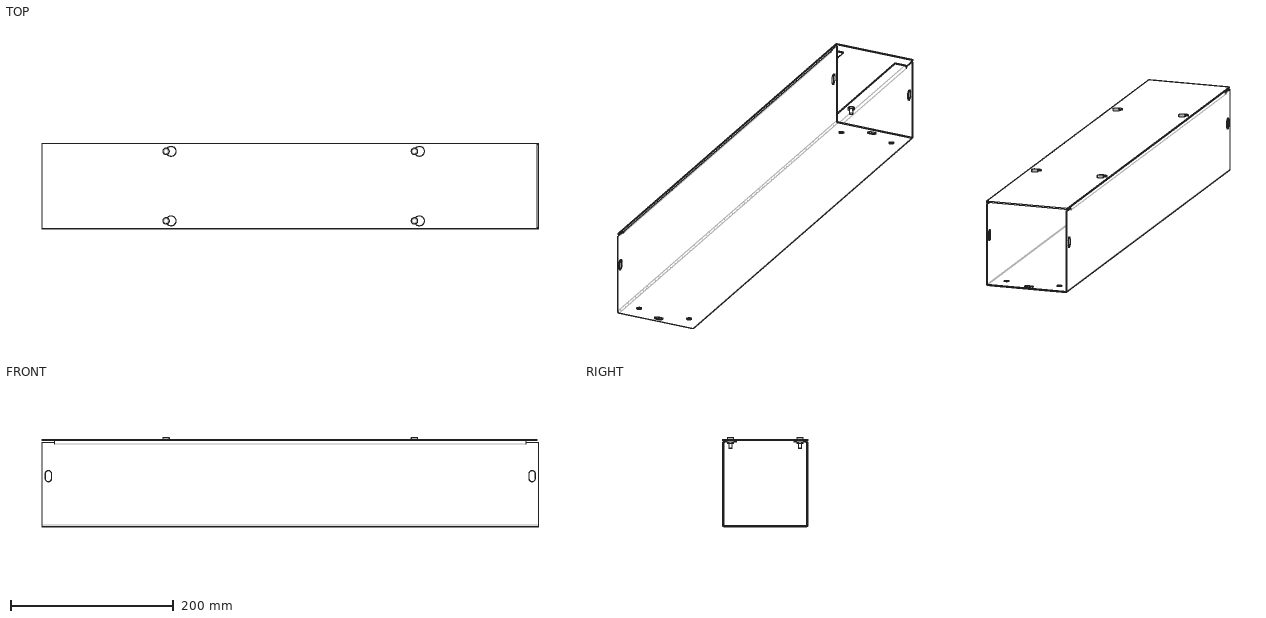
import cadquery as cq

LENGTH = 609.5
WIDTH = 105.0
HEIGHT = 110.0
SHEET = 1.5

HEAD_HEIGHT = 2.5
HEAD_DIA = 8.0
HEAD_FILLET = 1.0
SHANK_DIA = 4.1
SHANK_END_Z = 96.5
SCREW_SPACING_X = 305.0
SCREW_Y = 42.5

COVER_LENGTH = 608.0
COVER_TOP = HEIGHT - HEAD_HEIGHT
COVER_BOTTOM = COVER_TOP - SHEET
COVER_CENTER_X = (COVER_LENGTH - LENGTH) / 2
KEYHOLE_DIA = 12.0
KEYHOLE_NECK = 4.6
KEYHOLE_OFFSET = 6.0

BEND_RADIUS = 4.0
BASE_BEND_RADIUS = 2.15
FLANGE_WIDTH = 17.0
FLANGE_SETBACK = 15.0
FLANGE_LENGTH = LENGTH - 2 * FLANGE_SETBACK
WALL_END_TOP = 103.5
COLLAR_DIA = 8.0
COLLAR_HEIGHT = 2.0

SIDE_SLOT_WIDTH = 7.5
SIDE_SLOT_LENGTH = 13.5
SLOT_INSET = 8.0
SIDE_SLOT_Z = 62.0
BASE_SLOT_LENGTH = 11.0
BASE_SLOT_WIDTH = 6.0
BASE_HOLE_DIA = 6.0
BASE_HOLE_INSET = 23.0
BASE_HOLE_Y = 34.0

SCREW_XS = [side * SCREW_SPACING_X / 2 for side in (-1, 1)]
SCREW_POINTS = [(x, y) for x in SCREW_XS for y in (-SCREW_Y, SCREW_Y)]


def plate(length, width, bottom, top, center_x=0, center_y=0):
    """Rectangular block between two heights."""
    return (
        cq.Workplane("XY", origin=(center_x, center_y, bottom))
        .rect(length, width)
        .extrude(top - bottom)
    )


def rod(points, diameter, bottom, top):
    """Upright cylinders at the given points."""
    return (
        cq.Workplane("XY", origin=(0, 0, bottom))
        .pushPoints(points)
        .circle(diameter / 2)
        .extrude(top - bottom)
    )


def channel_block(length, width, bottom, top, base_radius):
    """Solid bar with rounded lower edges."""
    bar = plate(length, width, bottom, top)
    return bar.edges("|X and <Z").fillet(base_radius)


def make_flanged_channel():
    """C-shaped middle length of the trough, with two bent inward flanges."""
    inner_width = WIDTH - 2 * SHEET
    outer = channel_block(FLANGE_LENGTH, WIDTH, 0, COVER_BOTTOM, BASE_BEND_RADIUS)
    inner_top = COVER_BOTTOM - SHEET
    inner = channel_block(FLANGE_LENGTH, inner_width, SHEET, inner_top, BASE_BEND_RADIUS - SHEET)
    outer = outer.edges("|X and >Z").fillet(BEND_RADIUS)
    inner = inner.edges("|X and >Z").fillet(BEND_RADIUS - SHEET)
    mouth = plate(FLANGE_LENGTH, WIDTH - 2 * FLANGE_WIDTH, HEIGHT / 2, HEIGHT)
    return outer.cut(inner).cut(mouth)


def make_end_channels():
    """U-shaped trough ends beyond the flanges, with straight walls stopping below the cover."""
    outer = channel_block(LENGTH, WIDTH, 0, WALL_END_TOP, BASE_BEND_RADIUS)
    inner = channel_block(LENGTH, WIDTH - 2 * SHEET, SHEET, HEIGHT, BASE_BEND_RADIUS - SHEET)
    middle = plate(FLANGE_LENGTH, WIDTH, 0, HEIGHT)
    return outer.cut(inner).cut(middle)


def make_mounting_openings():
    """Slots in the walls and base, plus round holes in the base, near both ends."""
    slot_x = LENGTH / 2 - SLOT_INSET
    hole_x = LENGTH / 2 - BASE_HOLE_INSET
    side_slots = (
        cq.Workplane("XZ", origin=(0, 0, SIDE_SLOT_Z))
        .pushPoints([(-slot_x, 0), (slot_x, 0)])
        .slot2D(SIDE_SLOT_LENGTH, SIDE_SLOT_WIDTH, 90)
        .extrude(WIDTH, both=True)
    )
    base_slots = (
        cq.Workplane("XY")
        .pushPoints([(-slot_x, 0), (slot_x, 0)])
        .slot2D(BASE_SLOT_LENGTH, BASE_SLOT_WIDTH, 90)
        .extrude(SHEET)
    )
    hole_points = [(x, y) for x in (-hole_x, hole_x) for y in (-BASE_HOLE_Y, BASE_HOLE_Y)]
    return side_slots.union(base_slots).union(rod(hole_points, BASE_HOLE_DIA, 0, SHEET))


def make_trough():
    """Complete trough with openings and a screw collar under each flange hole."""
    collar_bottom = COVER_BOTTOM - SHEET - COLLAR_HEIGHT
    collars = rod(SCREW_POINTS, COLLAR_DIA, collar_bottom, COVER_BOTTOM)
    screw_holes = rod(SCREW_POINTS, SHANK_DIA, collar_bottom, COVER_BOTTOM)
    return (
        make_flanged_channel()
        .union(make_end_channels())
        .cut(make_mounting_openings())
        .union(collars)
        .cut(screw_holes)
    )


def make_cover():
    """Flat lid with a keyhole at each screw."""
    cover = plate(COVER_LENGTH, WIDTH, COVER_BOTTOM, COVER_TOP, COVER_CENTER_X)
    large_ends = [(x + KEYHOLE_OFFSET, y) for x, y in SCREW_POINTS]
    cover = cover.cut(rod(large_ends, KEYHOLE_DIA, COVER_BOTTOM, COVER_TOP))
    cover = cover.cut(rod(SCREW_POINTS, KEYHOLE_NECK, COVER_BOTTOM, COVER_TOP))
    for x, y in SCREW_POINTS:
        neck_x = x + KEYHOLE_OFFSET / 2
        cover = cover.cut(plate(KEYHOLE_OFFSET, KEYHOLE_NECK, COVER_BOTTOM, COVER_TOP, neck_x, y))
    return cover


def make_screw(x, y):
    """Round-headed screw with its head resting on the cover."""
    head = rod([(x, y)], HEAD_DIA, COVER_TOP, HEIGHT).faces(">Z").edges().fillet(HEAD_FILLET)
    shank = rod([(x, y)], SHANK_DIA, SHANK_END_Z, COVER_TOP)
    return head.union(shank)


trough = make_trough()
cover = make_cover()
screws = [make_screw(x, y) for x, y in SCREW_POINTS]

result = cq.Compound.makeCompound([trough.val(), cover.val(), *[screw.val() for screw in screws]])